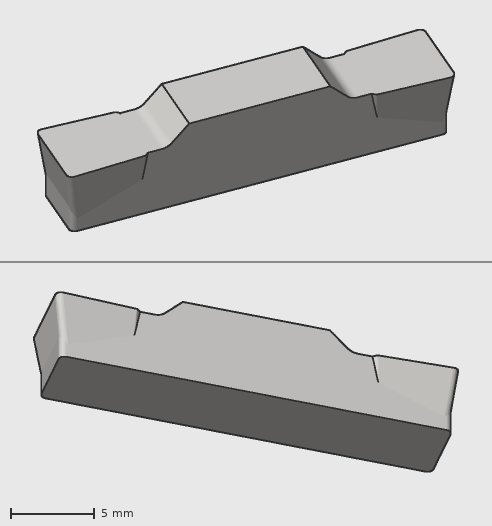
import cadquery as cq
import math

length = 25.37
height = 5.95
body_width = 4.2
seat_height = 4.57
crest_half_length = 4.62
ramp_angle = 45.0
ramp_foot_radius = 0.95

head_width = 5.07
head_length = 5.12
side_taper = 2.5
side_relief = 6.3
front_relief = 7.0
rear_angle = 40.0
relief_depth = 2.82
corner_radius = 0.38
rear_corner_radius = 0.13
rear_corner_lean = 0.06
rear_chamfer_depth = 0.5


def tangent(degrees):
    return math.tan(math.radians(degrees))


body_half_length = length / 2 - relief_depth * tangent(front_relief)
ramp_foot = crest_half_length + (height - seat_height) / tangent(ramp_angle)


def make_body():
    """Straight-sided bar with a raised crest and ramps down to both seats."""
    profile = [
        (-body_half_length, 0),
        (body_half_length, 0),
        (body_half_length, seat_height),
        (ramp_foot, seat_height),
        (crest_half_length, height),
        (-crest_half_length, height),
        (-ramp_foot, seat_height),
        (-body_half_length, seat_height),
    ]
    body = cq.Workplane("YZ").polyline(profile).close().extrude(body_width / 2, both=True)
    body = body.edges("|Z").fillet(corner_radius)
    for foot in (-ramp_foot, ramp_foot):
        foot_edge = cq.selectors.NearestToPointSelector((0, foot, seat_height))
        body = body.edges("|X").edges(foot_edge).fillet(ramp_foot_radius)
    return body


def head_outline(depth):
    """Horizontal section of the -Y head at a given depth below the seat."""
    front_y = -length / 2 + depth * tangent(front_relief)
    rear_y = -length / 2 + head_length - depth * rear_corner_lean
    side_inset = depth * tangent(side_relief)
    front_half = head_width / 2 - side_inset - (front_y + length / 2) * tangent(side_taper)
    rear_half = head_width / 2 - side_inset - (rear_y + length / 2) * tangent(side_taper)
    tip_half = rear_half - rear_chamfer_depth
    tip_y = rear_y + rear_chamfer_depth / tangent(rear_angle)
    return [
        (-front_half, front_y),
        (front_half, front_y),
        (rear_half, rear_y),
        (tip_half, tip_y),
        (-tip_half, tip_y),
        (-rear_half, rear_y),
    ]


def make_head():
    """Head leaning inwards on its front, sides and rear chamfers."""
    head = (
        cq.Workplane("XY")
        .workplane(offset=seat_height)
        .polyline(head_outline(0))
        .close()
        .workplane(offset=-seat_height)
        .polyline(head_outline(seat_height))
        .close()
        .loft(ruled=True)
    )
    middle_depth = seat_height / 2
    corners = head_outline(middle_depth)
    rounded = [
        (corners[0], corner_radius),
        (corners[1], corner_radius),
        (corners[2], rear_corner_radius),
        (corners[5], rear_corner_radius),
    ]
    for (x, y), radius in rounded:
        corner_edge = cq.selectors.NearestToPointSelector((x, y, middle_depth))
        head = head.edges(corner_edge).fillet(radius)
    return head


near_head = make_head()
far_head = near_head.mirror("XZ")
result = make_body().union(near_head).union(far_head).clean()